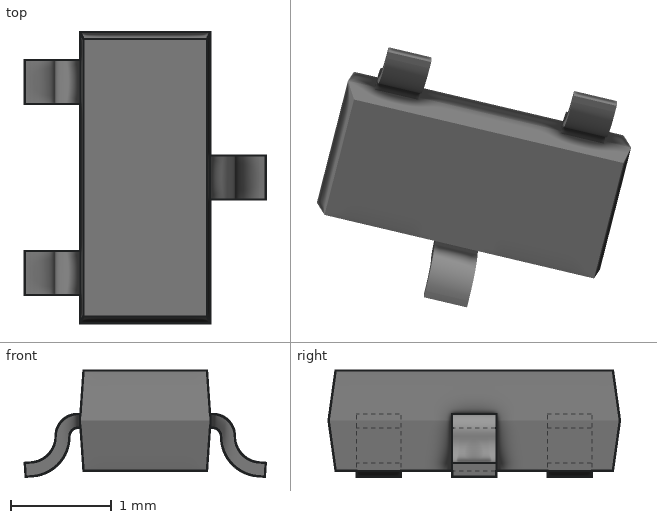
import cadquery as cq
import math


body_width = 1.30
body_length = 2.90
body_height = 1.00
standoff = 0.06
side_inset = 0.035
end_inset = 0.07
parting_z = standoff + body_height / 2

tip_span = 2.40
lead_width = 0.44
lead_thickness = 0.14
lead_offset = 0.95
shoulder_radius = 0.225
foot_radius = 0.258
foot_run = 0.067
foot_tilt = math.radians(4)
embed_depth = 0.15


def tapered_half(direction):
    """Half of the body, from the parting line up (+1) or down (-1)."""
    return (
        cq.Workplane("XY", origin=(0, 0, parting_z))
        .rect(body_width, body_length)
        .workplane(offset=direction * body_height / 2)
        .rect(body_width - 2 * side_inset, body_length - 2 * end_inset)
        .loft(ruled=True)
    )


def polar(centre, radius, angle):
    """Point on a circle in the XZ plane."""
    return (centre[0] + radius * math.cos(angle), centre[1] + radius * math.sin(angle))


def make_lead(y_centre):
    """Lead on the -X side, an S-shaped strip of constant thickness."""
    tip_top = (-tip_span / 2, lead_thickness * math.cos(foot_tilt))
    tip_bottom = (tip_top[0] + lead_thickness * math.sin(foot_tilt), 0)
    foot_end = (tip_top[0] + foot_run, tip_top[1] + foot_run * math.tan(foot_tilt))

    foot_start_angle = foot_tilt - math.pi / 2
    foot_mid_angle = foot_start_angle / 2
    foot_centre = (
        foot_end[0] - foot_radius * math.cos(foot_start_angle),
        foot_end[1] - foot_radius * math.sin(foot_start_angle),
    )
    foot_outer_radius = foot_radius + lead_thickness

    shoulder_centre = (foot_centre[0] + foot_radius + shoulder_radius, foot_centre[1])
    shoulder_inner_radius = shoulder_radius - lead_thickness
    shoulder_mid_angle = math.radians(135)

    root_x = -body_width / 2 + embed_depth

    return (
        cq.Workplane("XZ", origin=(0, y_centre, 0))
        .moveTo(*tip_top)
        .lineTo(*foot_end)
        .threePointArc(
            polar(foot_centre, foot_radius, foot_mid_angle),
            polar(foot_centre, foot_radius, 0),
        )
        .threePointArc(
            polar(shoulder_centre, shoulder_radius, shoulder_mid_angle),
            polar(shoulder_centre, shoulder_radius, math.pi / 2),
        )
        .lineTo(root_x, shoulder_centre[1] + shoulder_radius)
        .lineTo(root_x, shoulder_centre[1] + shoulder_inner_radius)
        .lineTo(shoulder_centre[0], shoulder_centre[1] + shoulder_inner_radius)
        .threePointArc(
            polar(shoulder_centre, shoulder_inner_radius, shoulder_mid_angle),
            polar(shoulder_centre, shoulder_inner_radius, math.pi),
        )
        .threePointArc(
            polar(foot_centre, foot_outer_radius, foot_mid_angle),
            polar(foot_centre, foot_outer_radius, foot_start_angle),
        )
        .lineTo(*tip_bottom)
        .close()
        .extrude(lead_width / 2, both=True)
    )


result = tapered_half(1).union(tapered_half(-1))

for y_position in (-lead_offset, lead_offset):
    result = result.union(make_lead(y_position))
result = result.union(make_lead(0).mirror("YZ"))